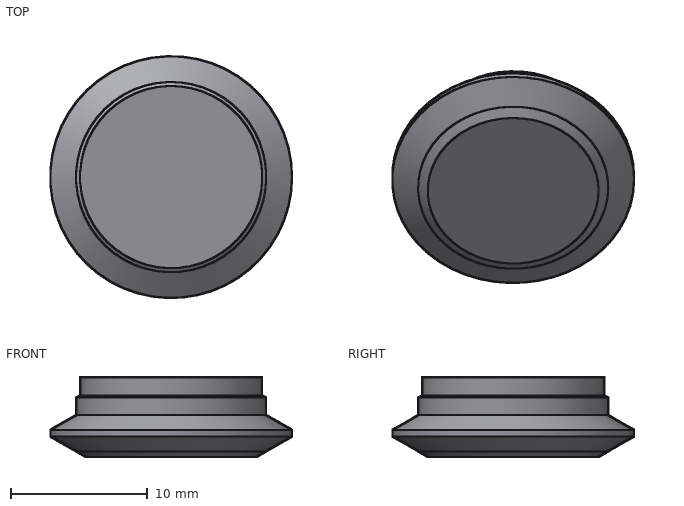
import cadquery as cq

rim_radius = 17.7 / 2
shoulder_radius = 13.91 / 2
cap_radius = 13.33 / 2
base_radius = 6.25

total_height = 5.85
ring_bottom = 0.42
rim_bottom = 1.5
rim_height = 0.5
rim_top = rim_bottom + rim_height
ring_top = rim_top + (rim_bottom - ring_bottom)
shoulder_edge = 4.35
shoulder_top = 4.51


def revolve_profile(points):
    """Revolve a closed (radius, height) profile a full turn about the Z axis."""
    return cq.Workplane("XZ").polyline(points).close().revolve(360, (0, 0, 0), (0, 1, 0))


def make_core():
    """Stepped round core with a tapered foot and a chamfered shoulder below the cap."""
    return revolve_profile([
        (0, 0),
        (base_radius, 0),
        (shoulder_radius, ring_bottom),
        (shoulder_radius, shoulder_edge),
        (cap_radius, shoulder_top),
        (cap_radius, total_height),
        (0, total_height),
    ])


def make_ring():
    """Ring around the core, tapering above and below to a narrow cylindrical rim."""
    return revolve_profile([
        (shoulder_radius, ring_bottom),
        (rim_radius, rim_bottom),
        (rim_radius, rim_top),
        (shoulder_radius, ring_top),
    ])


core = make_core()
ring = make_ring()

result = cq.Compound.makeCompound([core.val(), ring.val()])